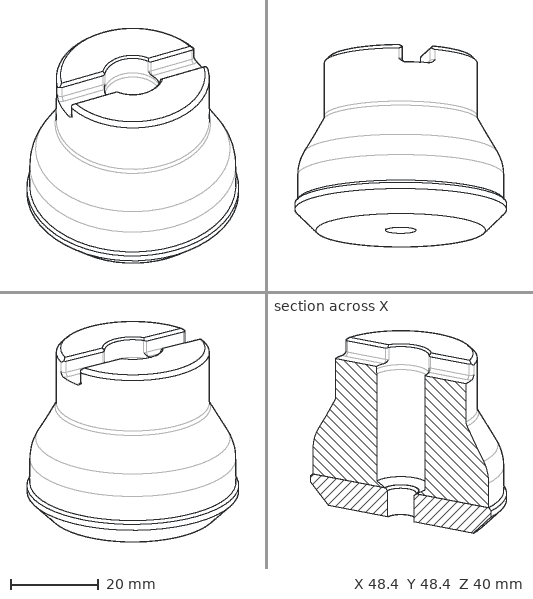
import cadquery as cq
import math

TOTAL_HEIGHT = 40.0
FLANGE_RADIUS = 48.43 / 2
BODY_RADIUS = 47.1 / 2
NECK_RADIUS = 35.0 / 2

BASE_TAPER = 4.85
RIM_TOP = 6.3
BASE_TOP = RIM_TOP + FLANGE_RADIUS - BODY_RADIUS
BASE_HOLE_RADIUS = 7.0 / 2
BASE_HOLE_CHAMFER = 0.6

SHOULDER_START = 12.9
SHOULDER_BEND = 10.0
CONE_ANGLE = math.radians(30)
NECK_BEND = 2.0
TOP_CHAMFER = 1.0

BORE_RADIUS = 12.9 / 2
BORE_CHAMFER = 0.5
BORE_DEPTH = 4.85
INNER_BORE_RADIUS = 12.71 / 2
INNER_BORE_START = 6.0
OUTLET_RADIUS = 8.4 / 2
FUNNEL_ANGLE = math.radians(60)

SLOT_HALF_WIDTH = 6.5 / 2
SLOT_DEPTH = 4.2
SLOT_CHAMFER = 0.7
SLOT_CORNER_RADIUS = 0.8
SLOT_FLOOR_FILLET = 0.8
SLOT_OVERRUN = 2.0


def revolve_profile(profile):
    """Turn a closed radius-height outline a full turn about Z."""
    return profile.close().revolve(360, (0, 0, 0), (0, 1, 0))


def make_base():
    """Flanged disc with a tapered underside and a through hole."""
    profile = (
        cq.Workplane("XZ")
        .moveTo(BASE_HOLE_RADIUS, 0)
        .lineTo(FLANGE_RADIUS - BASE_TAPER, 0)
        .lineTo(FLANGE_RADIUS, BASE_TAPER)
        .lineTo(FLANGE_RADIUS, RIM_TOP)
        .lineTo(BODY_RADIUS, BASE_TOP)
        .lineTo(BASE_HOLE_RADIUS + BASE_HOLE_CHAMFER, BASE_TOP)
        .lineTo(BASE_HOLE_RADIUS, BASE_TOP - BASE_HOLE_CHAMFER)
    )
    return revolve_profile(profile)


def bend_point(radius, height, bend, angle):
    """Point on an arc of radius `bend` that starts vertical at (radius, height), after `angle`.

    A positive bend curves inward going up; a negative one curves outward from that point.
    """
    return (radius - bend * (1 - math.cos(angle)), height + bend * math.sin(angle))


def make_bell_blank():
    """Bell with its neck, shoulder and stepped bore, before the slot is cut."""
    shoulder_mid = bend_point(BODY_RADIUS, SHOULDER_START, SHOULDER_BEND, CONE_ANGLE / 2)
    shoulder_end = bend_point(BODY_RADIUS, SHOULDER_START, SHOULDER_BEND, CONE_ANGLE)

    cone_end_radius = NECK_RADIUS + NECK_BEND * (1 - math.cos(CONE_ANGLE))
    cone_end_height = shoulder_end[1] + (shoulder_end[0] - cone_end_radius) / math.tan(CONE_ANGLE)
    neck_start = cone_end_height + NECK_BEND * math.sin(CONE_ANGLE)
    neck_mid = bend_point(NECK_RADIUS, neck_start, -NECK_BEND, CONE_ANGLE / 2)

    funnel_height = (INNER_BORE_RADIUS - OUTLET_RADIUS) / math.tan(FUNNEL_ANGLE)
    profile = (
        cq.Workplane("XZ")
        .moveTo(OUTLET_RADIUS, BASE_TOP)
        .lineTo(BODY_RADIUS, BASE_TOP)
        .lineTo(BODY_RADIUS, SHOULDER_START)
        .threePointArc(shoulder_mid, shoulder_end)
        .lineTo(cone_end_radius, cone_end_height)
        .threePointArc(neck_mid, (NECK_RADIUS, neck_start))
        .lineTo(NECK_RADIUS, TOTAL_HEIGHT - TOP_CHAMFER)
        .lineTo(NECK_RADIUS - TOP_CHAMFER, TOTAL_HEIGHT)
        .lineTo(BORE_RADIUS + BORE_CHAMFER, TOTAL_HEIGHT)
        .lineTo(BORE_RADIUS, TOTAL_HEIGHT - BORE_CHAMFER)
        .lineTo(BORE_RADIUS, TOTAL_HEIGHT - BORE_DEPTH)
        .lineTo(INNER_BORE_RADIUS, TOTAL_HEIGHT - INNER_BORE_START)
        .lineTo(INNER_BORE_RADIUS, BASE_TOP + funnel_height)
    )
    return revolve_profile(profile)


def make_slot_arm_cutter():
    """Slot from the axis toward +Y; its walls flare into bore and neck, its floor is filleted."""
    corner_x = SLOT_HALF_WIDTH + SLOT_CORNER_RADIUS

    neck_reach = NECK_RADIUS - SLOT_CORNER_RADIUS
    bore_reach = BORE_RADIUS + SLOT_CORNER_RADIUS
    neck_y = math.sqrt(neck_reach**2 - corner_x**2)
    bore_y = math.sqrt(bore_reach**2 - corner_x**2)

    neck_turn = math.atan2(neck_y, corner_x)
    bore_turn = math.atan2(-bore_y, -corner_x)

    def on_round(centre_y, angle):
        return (corner_x + SLOT_CORNER_RADIUS * math.cos(angle),
                centre_y + SLOT_CORNER_RADIUS * math.sin(angle))

    neck_touch = on_round(neck_y, neck_turn)
    neck_mid = on_round(neck_y, (neck_turn + math.pi) / 2)
    bore_touch = on_round(bore_y, bore_turn)
    bore_mid = on_round(bore_y, (bore_turn - math.pi) / 2)

    outer_end = (neck_touch[0] + SLOT_OVERRUN * math.sin(neck_turn),
                 neck_touch[1] - SLOT_OVERRUN * math.cos(neck_turn))

    arm_side = (
        cq.Workplane("XY", origin=(0, 0, TOTAL_HEIGHT - SLOT_DEPTH))
        .moveTo(0, 0)
        .lineTo(0, NECK_RADIUS + SLOT_OVERRUN)
        .lineTo(outer_end[0], NECK_RADIUS + SLOT_OVERRUN)
        .lineTo(*outer_end)
        .lineTo(*neck_touch)
        .threePointArc(neck_mid, (SLOT_HALF_WIDTH, neck_y))
        .lineTo(SLOT_HALF_WIDTH, bore_y)
        .threePointArc(bore_mid, bore_touch)
        .close()
        .extrude(SLOT_DEPTH)
    )
    wall_foot = cq.selectors.NearestToPointSelector(
        (SLOT_HALF_WIDTH, (neck_y + bore_y) / 2, TOTAL_HEIGHT - SLOT_DEPTH)
    )
    arm_side = arm_side.edges(wall_foot).fillet(SLOT_FLOOR_FILLET)
    return arm_side.union(arm_side.mirror("YZ"))


def make_slot_chamfer_cutter():
    """Trapezoidal bar that bevels the top edges of the slot along its whole length."""
    return (
        cq.Workplane("XZ", origin=(0, NECK_RADIUS, TOTAL_HEIGHT))
        .moveTo(-SLOT_HALF_WIDTH - SLOT_CHAMFER, 0)
        .lineTo(SLOT_HALF_WIDTH + SLOT_CHAMFER, 0)
        .lineTo(SLOT_HALF_WIDTH, -SLOT_CHAMFER)
        .lineTo(-SLOT_HALF_WIDTH, -SLOT_CHAMFER)
        .close()
        .extrude(2 * NECK_RADIUS)
    )


def make_bell():
    """Bell with the driving slot cut across its neck."""
    slot_arm = make_slot_arm_cutter()
    bell = make_bell_blank().cut(make_slot_chamfer_cutter())
    for arm in (slot_arm, slot_arm.mirror("XZ")):
        bell = bell.cut(arm)
    return bell


base = make_base()
bell = make_bell()

result = cq.Compound.makeCompound([base.val(), bell.val()])